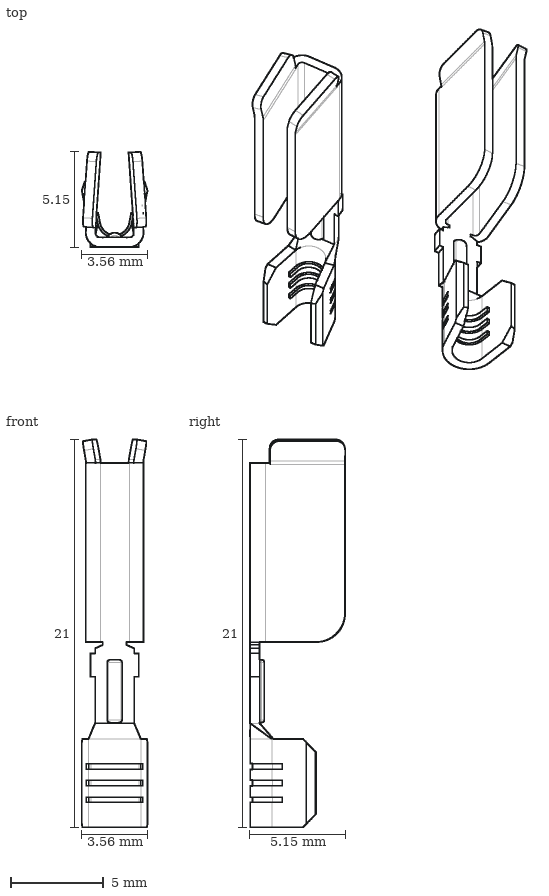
import cadquery as cq
import math

sheet = 0.52

barrel_height = 4.77
barrel_radius = 1.445
barrel_lean = 10.9
barrel_section = (0, barrel_radius, barrel_lean)
leg_length = 2.36
leg_bevel_length = 0.45
leg_bevel_depth = 0.25
leg_chamfer_y = 0.62
leg_chamfer_z = 0.64
serration_depth = 0.13
serration_run = 0.58
serrations = ((1.36, 1.61), (2.24, 2.55), (3.13, 3.44))

stem_bottom = 5.63
stem_half_width = 1.06
shoulder_half_width = 1.31
shoulder_bottom = 8.13
shoulder_top = 9.40
neck_half_width = 0.65
neck_slope_bottom = 9.67
neck_slope_top = 9.85

rib_half_width = 0.40
rib_arch_half_width = 0.34
rib_bottom = 5.66
rib_top = 9.05
rib_height = 0.26
rib_side_height = 0.09
rib_end_radius = 0.14

wall_run = 4.318
box_bottom = 10.0
box_top = 19.68
floor_half_width = 0.785
box_radius = 0.78
box_lean = -4.0
box_section = (floor_half_width, box_radius, box_lean)
wall_corner_radius = 1.55

part_height = 20.95
tab_width = 4.07
tab_angle = 10.0
tab_bend_bottom = 19.62
tab_bend_radius = 1.04
tab_corner_radius = 0.5


def lean_vectors(lean):
    """Along-wall and outward-normal directions of the +X wall, in XY."""
    angle = math.radians(lean)
    along = (math.sin(angle), math.cos(angle))
    outward = (math.cos(angle), -math.sin(angle))
    return along, outward


def shifted(point, direction, distance):
    return point[0] + distance * direction[0], point[1] + distance * direction[1]


def mirrored(point):
    return -point[0], point[1]


def wall_foot(section, depth=0.0):
    """Point where the bend meets the straight +X wall, at a depth below the outer skin."""
    half_floor, radius, lean = section
    _, outward = lean_vectors(lean)
    return shifted((half_floor, radius), outward, radius - depth)


def channel(section, run, bottom, top, outer=0.0, inner=sheet):
    """U-shaped channel between two depths below the outer skin, extruded from bottom to top."""
    half_floor, radius, lean = section
    along, _ = lean_vectors(lean)
    middle_angle = math.radians((90 - lean) / 2)
    toward_middle = (math.sin(middle_angle), -math.cos(middle_angle))

    def add_skin(outline, depth, side):
        """Continue the outline over one skin, starting from the wall tip on the given side."""
        foot = wall_foot(section, depth)
        tip = shifted(foot, along, run)
        middle = shifted((half_floor, radius), toward_middle, radius - depth)
        floor_end = (half_floor, depth)
        if side < 0:
            foot, tip, middle, floor_end = map(mirrored, (foot, tip, middle, floor_end))
        if run > 0:
            outline = outline.lineTo(*foot)
        outline = outline.threePointArc(middle, floor_end)
        if half_floor > 0:
            outline = outline.lineTo(*mirrored(floor_end))
        outline = outline.threePointArc(mirrored(middle), mirrored(foot))
        if run > 0:
            outline = outline.lineTo(*mirrored(tip))
        return outline

    outer_tip = shifted(wall_foot(section, outer), along, run)
    inner_tip = shifted(wall_foot(section, inner), along, run)
    outline = cq.Workplane("XY", origin=(0, 0, bottom)).moveTo(*outer_tip)
    outline = add_skin(outline, outer, 1).lineTo(*mirrored(inner_tip))
    outline = add_skin(outline, inner, -1)
    return outline.close().extrude(top - bottom)


def on_both_sides(body):
    return body.union(body.mirror("YZ"))


def cut_serrations(barrel):
    """Press rings into the outside that stand proud by the same amount on the inside."""
    for bottom, top in serrations:
        groove = channel(barrel_section, serration_run, bottom, top, 0, serration_depth)
        ridge = channel(barrel_section, serration_run, bottom, top, sheet, sheet + serration_depth)
        barrel = barrel.cut(groove).union(ridge)
    return barrel


def trim_legs(barrel):
    """Bevel the outside of the leg tips and chamfer their upper and lower corners."""
    along, outward = lean_vectors(barrel_lean)
    tip = shifted(wall_foot(barrel_section), along, leg_length)
    knee = shifted(tip, along, -leg_bevel_length)
    tip_edge = shifted(tip, outward, -leg_bevel_depth)
    bevel = cq.Workplane("XY").polyline([tip, knee, tip_edge]).close().extrude(barrel_height)
    barrel = barrel.cut(on_both_sides(bevel))

    leg_top = tip[1] - sheet * outward[1]
    chamfer_start = tip[1] - leg_chamfer_y
    chamfer_rise = leg_chamfer_z * (leg_top - chamfer_start) / leg_chamfer_y
    for end, inward in ((0, 1), (barrel_height, -1)):
        corner = (
            cq.Workplane("YZ")
            .polyline([(chamfer_start, end), (leg_top, end), (leg_top, end + inward * chamfer_rise)])
            .close()
            .extrude(2 * barrel_radius, both=True)
        )
        barrel = barrel.cut(corner)
    return barrel


def make_barrel():
    barrel = channel(barrel_section, leg_length, 0, barrel_height)
    return trim_legs(cut_serrations(barrel))


def make_transition():
    """Ruled blend from the round barrel floor to the flat stem."""
    floor = channel(barrel_section, 0, 0, barrel_height)
    round_end = floor.faces(">Z").wires().val()
    half = stem_half_width
    corners = ((half, 0), (-half, 0), (-half, sheet), (half, sheet))
    flat_end = cq.Wire.makePolygon([cq.Vector(x, y, stem_bottom) for x, y in corners], close=True)
    return cq.Workplane(cq.Solid.makeLoft([round_end, flat_end], True))


def make_stem():
    right_edge = [
        (stem_half_width, stem_bottom),
        (stem_half_width, shoulder_bottom),
        (shoulder_half_width, shoulder_bottom),
        (shoulder_half_width, shoulder_top),
        (stem_half_width, shoulder_top),
        (stem_half_width, neck_slope_bottom),
        (neck_half_width, neck_slope_top),
        (neck_half_width, box_bottom),
    ]
    left_edge = [(-x, z) for x, z in reversed(right_edge)]
    return cq.Workplane("XZ").polyline(right_edge + left_edge).close().extrude(-sheet)


def rib_body(base_y):
    """Arched bar with sloping sides standing on the plane Y = base_y, with rounded ends."""
    side_y = base_y + rib_side_height
    return (
        cq.Workplane("XY", origin=(0, 0, rib_bottom))
        .moveTo(-rib_half_width, base_y)
        .lineTo(rib_half_width, base_y)
        .lineTo(rib_arch_half_width, side_y)
        .threePointArc((0, base_y + rib_height), (-rib_arch_half_width, side_y))
        .close()
        .extrude(rib_top - rib_bottom)
        .faces("<Z or >Z")
        .edges("not <Y")
        .fillet(rib_end_radius)
    )


def make_box():
    """Channel with leaning walls, lowered where the tabs take over, with round lower wall corners."""
    along, _ = lean_vectors(box_lean)
    box = channel(box_section, wall_run, box_bottom, box_top)
    tip_x, tip_y = shifted(wall_foot(box_section), along, wall_run)
    for x in (tip_x, -tip_x):
        lower_corner = cq.selectors.NearestToPointSelector((x, tip_y, box_bottom))
        box = box.edges(lower_corner).fillet(wall_corner_radius)

    wall_above_bend = (
        cq.Workplane(tab_plane())
        .moveTo(-2 * sheet, tab_bend_bottom)
        .lineTo(2 * sheet, tab_bend_bottom)
        .lineTo(2 * sheet, part_height)
        .lineTo(-2 * sheet, part_height)
        .close()
        .extrude(-2 * tab_width)
    )
    return box.cut(on_both_sides(wall_above_bend))


def tab_plane():
    """Plane across the +X wall where its tab starts: x is outward from the outer skin, y is up."""
    along, outward = lean_vectors(box_lean)
    start_x, start_y = shifted(wall_foot(box_section), along, wall_run - tab_width)
    return cq.Plane(origin=(start_x, start_y, 0), xDir=(*outward, 0), normal=(-along[0], -along[1], 0))


def make_tab():
    """Tab of the +X wall, bent outward and rounded at its two upper corners."""
    sine = math.sin(math.radians(tab_angle))
    cosine = math.cos(math.radians(tab_angle))

    def bend_point(radius, angle):
        turn = math.radians(angle)
        return (tab_bend_radius - radius * math.cos(turn), tab_bend_bottom + radius * math.sin(turn))

    plane = tab_plane()
    inner_radius = tab_bend_radius + sheet
    outer_bend_end = bend_point(tab_bend_radius, tab_angle)
    inner_bend_end = bend_point(inner_radius, tab_angle)
    flare = (part_height - inner_bend_end[1]) / cosine
    outer_top = (outer_bend_end[0] + flare * sine, outer_bend_end[1] + flare * cosine)
    inner_top = (inner_bend_end[0] + flare * sine, part_height)
    tab = (
        cq.Workplane(plane)
        .moveTo(0, tab_bend_bottom)
        .threePointArc(bend_point(tab_bend_radius, tab_angle / 2), outer_bend_end)
        .lineTo(*outer_top)
        .lineTo(*inner_top)
        .lineTo(*inner_bend_end)
        .threePointArc(bend_point(inner_radius, tab_angle / 2), (-sheet, tab_bend_bottom))
        .close()
        .extrude(-tab_width)
    )
    top_x = (outer_top[0] + inner_top[0]) / 2
    top_z = (outer_top[1] + inner_top[1]) / 2
    for offset in (0, -tab_width):
        corner = plane.toWorldCoords((top_x, top_z, offset)).toTuple()
        tab = tab.edges(cq.selectors.NearestToPointSelector(corner)).fillet(tab_corner_radius)
    return tab


def make_terminal():
    terminal = make_barrel().union(make_transition()).union(make_stem())
    terminal = terminal.union(make_box()).union(on_both_sides(make_tab()))
    return terminal.union(rib_body(sheet)).cut(rib_body(0))


result = make_terminal()